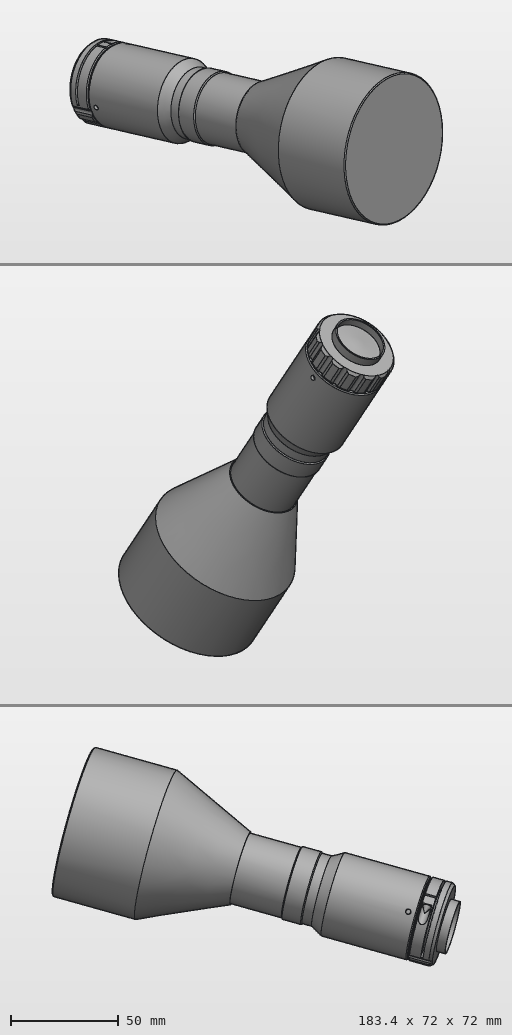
import cadquery as cq


barrel_radius = 12.7
rim_width = 0.7
recess_depth = 3.7
lens_radius = 10.8
lens_rise = 1.3

flange_x = 4.2
flange_face_radius = 19.0
flange_cone_length = 1.5
housing_radius = 20.2
ring_end_x = 15.5
ring_gap = 0.5
ring_gap_radius = 18.3
edge_chamfer = 0.5

housing_end_x = 57.8
taper_end_x = 63.3
neck_radius = 17.0
collar_start_x = 67.9
collar_end_x = 78.0
collar_radius = 17.6
bell_start_x = 102.7
bell_start_radius = 17.6
bell_cone_end_x = 143.4
bell_radius = 72.0 / 2
length = 183.4

clamp_turn = 16.7

split_groove_x = 8.6
split_groove_width = 1.1
split_groove_radius = 16.5
split_groove_low_z = -1.1

slit_width = 1.0
pocket_radius = 2.2
pocket_seat_y = 4.5
pocket_axis_z = 17.2
screw_tip_radius = 2.0
screw_tip_length = 3.9

finger_groove_count = 7
finger_groove_pitch = 25.5
finger_scoop_half_width = 1.3
finger_scoop_depth = 0.7
finger_lip_z = -19.6
finger_lip_width = 1.3
finger_lip_height = 0.4

set_hole_count = 3
set_hole_x = 20.2
set_hole_diameter = 2.4
set_hole_depth = 1.8

cut_margin = 1.8


def make_body():
    """Revolve the half outline of the whole lens about X."""
    recess_radius = barrel_radius - rim_width
    gap_end_x = ring_end_x + ring_gap
    chamfer_radius = housing_radius - edge_chamfer
    points = [
        (recess_depth - lens_rise, 0),
        (recess_depth, lens_radius),
        (recess_depth, recess_radius),
        (0, recess_radius),
        (0, barrel_radius),
        (flange_x, barrel_radius),
        (flange_x, flange_face_radius),
        (flange_x + flange_cone_length, housing_radius),
        (ring_end_x - edge_chamfer, housing_radius),
        (ring_end_x, chamfer_radius),
        (ring_end_x, ring_gap_radius),
        (gap_end_x, ring_gap_radius),
        (gap_end_x, chamfer_radius),
        (gap_end_x + edge_chamfer, housing_radius),
        (housing_end_x, housing_radius),
        (taper_end_x, neck_radius),
        (collar_start_x, neck_radius),
        (collar_start_x + edge_chamfer, collar_radius),
        (collar_end_x - edge_chamfer, collar_radius),
        (collar_end_x, neck_radius),
        (bell_start_x, neck_radius),
        (bell_start_x, bell_start_radius),
        (bell_cone_end_x, bell_radius),
        (length - edge_chamfer, bell_radius),
        (length, bell_radius - edge_chamfer),
        (length, 0),
    ]
    return cq.Workplane("XY").polyline(points).close().revolve(360, (0, 0, 0), (1, 0, 0))


def make_split_groove():
    """Narrow groove around the upper half of the ring, with flat ends."""
    outer_radius = housing_radius + cut_margin
    annulus = (
        cq.Workplane("YZ", origin=(split_groove_x, 0, 0))
        .circle(outer_radius)
        .circle(split_groove_radius)
        .extrude(split_groove_width)
    )
    upper_half = cq.Workplane("XY", origin=(split_groove_x, 0, split_groove_low_z)).box(
        2 * split_groove_width, 2 * outer_radius, 2 * outer_radius, centered=(True, True, False)
    )
    return annulus.intersect(upper_half)


def make_slit():
    """Clamp slit across the split part of the ring, at its top."""
    split_start_x = split_groove_x + split_groove_width
    return cq.Workplane("XY", origin=(split_start_x, 0, split_groove_radius)).box(
        ring_end_x - split_start_x, slit_width, housing_radius, centered=(False, True, False)
    )


def make_pocket():
    """Round-bottomed pocket, open at the top, with the cone tip of the clamp screw left in it."""
    split_start_x = split_groove_x + split_groove_width
    axis_x = (split_start_x + ring_end_x) / 2
    seat = cq.Workplane("XZ", origin=(axis_x, pocket_seat_y, pocket_axis_z))
    round_bottom = seat.circle(pocket_radius).extrude(-housing_radius)
    open_top = (
        seat.center(0, pocket_radius)
        .rect(2 * pocket_radius, 2 * pocket_radius)
        .extrude(-housing_radius)
    )
    screw_tip = cq.Workplane(
        cq.Solid.makeCone(
            screw_tip_radius,
            0,
            screw_tip_length,
            pnt=cq.Vector(axis_x, pocket_seat_y, pocket_axis_z),
            dir=cq.Vector(0, 1, 0),
        )
    )
    return round_bottom.union(open_top).cut(screw_tip)


def make_finger_groove(angle):
    """Arc scoop along X with flared lips, at an angle from straight down."""
    start_x = flange_x - cut_margin
    groove_length = ring_end_x + ring_gap / 2 - start_x
    outer_z = finger_lip_z - 2 * finger_lip_height
    outer_y = finger_scoop_half_width + 2 * finger_lip_width
    profile = (
        cq.Workplane("YZ", origin=(start_x, 0, 0))
        .moveTo(-finger_scoop_half_width, finger_lip_z)
        .threePointArc((0, finger_lip_z + finger_scoop_depth), (finger_scoop_half_width, finger_lip_z))
        .lineTo(outer_y, outer_z)
        .lineTo(-outer_y, outer_z)
        .close()
    )
    return profile.extrude(groove_length).rotate((0, 0, 0), (1, 0, 0), angle)


def make_set_hole(angle):
    """Radial blind hole in the housing, at an angle from -Y."""
    hole = (
        cq.Workplane("XZ", origin=(set_hole_x, -(housing_radius - set_hole_depth), 0))
        .circle(set_hole_diameter / 2)
        .extrude(set_hole_depth + cut_margin)
    )
    return hole.rotate((0, 0, 0), (1, 0, 0), angle)


cutters = [make_split_groove(), make_slit(), make_pocket()]
middle_groove = (finger_groove_count - 1) / 2
for i in range(finger_groove_count):
    cutters.append(make_finger_groove((i - middle_groove) * finger_groove_pitch))
for i in range(set_hole_count):
    cutters.append(make_set_hole(i * 360 / set_hole_count))

result = make_body()
for cutter in cutters:
    result = result.cut(cutter.rotate((0, 0, 0), (1, 0, 0), clamp_turn))